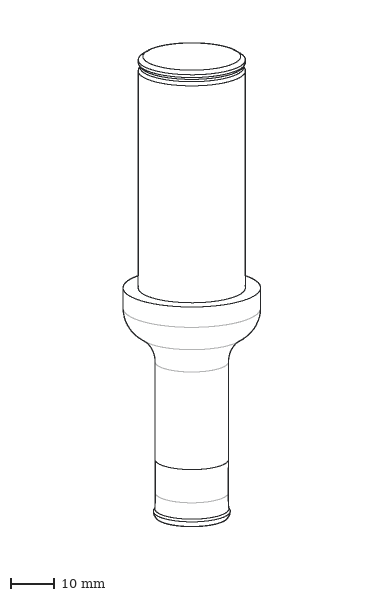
import cadquery as cq

TOTAL_LENGTH = 112.0
JOINT_HEIGHT = 14.5

NECK_RADIUS = 17.1 / 2
NECK_TOP = 38.1
COLLAR_RADIUS = 32.0 / 2
COLLAR_BOTTOM = 51.1
COLLAR_TOP = 56.0
FLARE_JOIN_RADIUS = (NECK_RADIUS + COLLAR_RADIUS) / 2
FLARE_JOIN_HEIGHT = (NECK_TOP + COLLAR_BOTTOM) / 2
SHANK_RADIUS = 25.0 / 2
SHANK_CHAMFER_WIDTH = 1.1
SHANK_CHAMFER_HEIGHT = 0.8

GROOVE_FLOOR_RADIUS = 12.1
GROOVE_TOP = 110.5
GROOVE_FLOOR_TOP = 110.0
GROOVE_FLOOR_BOTTOM = 109.4
GROOVE_BOTTOM = 108.5

TIP_WAIST_RADIUS = 8.5
TIP_FLARE_RADIUS = 8.6
TIP_FLARE_START = 6.4
RIM_RADIUS = 9.0
RIM_TOP = 2.5
RIM_EDGE_HEIGHT = 1.9
DOME_RADIUS = 8.4
DOME_HEIGHT = 0.6
RIM_ROUND_WIDTH = RIM_RADIUS - DOME_RADIUS
RIM_ROUND_HEIGHT = RIM_EDGE_HEIGHT - DOME_HEIGHT
RIM_ROUND_RADIUS = (RIM_ROUND_WIDTH**2 + RIM_ROUND_HEIGHT**2) / (2 * RIM_ROUND_WIDTH)
DOME_SPHERE_RADIUS = (DOME_RADIUS**2 + DOME_HEIGHT**2) / (2 * DOME_HEIGHT)


def make_holder():
    """Revolve the neck, the S-shaped flare, the collar and the grooved shank."""
    profile = (
        cq.Workplane("XZ")
        .moveTo(0, JOINT_HEIGHT)
        .lineTo(NECK_RADIUS, JOINT_HEIGHT)
        .lineTo(NECK_RADIUS, NECK_TOP)
        .tangentArcPoint((FLARE_JOIN_RADIUS, FLARE_JOIN_HEIGHT), relative=False)
        .tangentArcPoint((COLLAR_RADIUS, COLLAR_BOTTOM), relative=False)
        .lineTo(COLLAR_RADIUS, COLLAR_TOP)
        .lineTo(SHANK_RADIUS, COLLAR_TOP)
        .lineTo(SHANK_RADIUS, GROOVE_BOTTOM)
        .lineTo(GROOVE_FLOOR_RADIUS, GROOVE_FLOOR_BOTTOM)
        .lineTo(GROOVE_FLOOR_RADIUS, GROOVE_FLOOR_TOP)
        .lineTo(SHANK_RADIUS, GROOVE_TOP)
        .lineTo(SHANK_RADIUS, TOTAL_LENGTH - SHANK_CHAMFER_HEIGHT)
        .lineTo(SHANK_RADIUS - SHANK_CHAMFER_WIDTH, TOTAL_LENGTH)
        .lineTo(0, TOTAL_LENGTH)
        .close()
    )
    return profile.revolve(360, (0, 0, 0), (0, 1, 0))


def make_tip():
    """Revolve the tip with its tapered side, widened rim and shallow domed end."""
    profile = (
        cq.Workplane("XZ")
        .moveTo(0, JOINT_HEIGHT)
        .lineTo(NECK_RADIUS, JOINT_HEIGHT)
        .lineTo(TIP_WAIST_RADIUS, TIP_FLARE_START)
        .tangentArcPoint((TIP_FLARE_RADIUS, RIM_TOP), relative=False)
        .lineTo(RIM_RADIUS, RIM_EDGE_HEIGHT)
        .radiusArc((DOME_RADIUS, DOME_HEIGHT), RIM_ROUND_RADIUS)
        .radiusArc((0, 0), DOME_SPHERE_RADIUS)
        .close()
    )
    return profile.revolve(360, (0, 0, 0), (0, 1, 0))


holder = make_holder()
tip = make_tip()
result = cq.Compound.makeCompound([holder.val(), tip.val()])